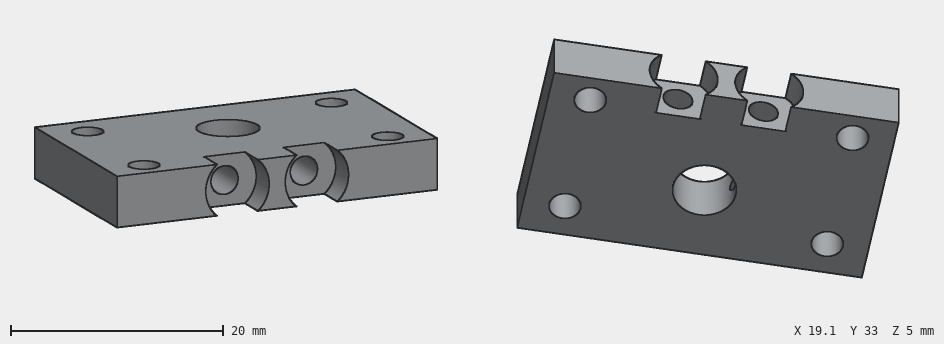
import cadquery as cq

width = 19.05
length = 32.95
thickness = 5.0

mount_diameter = 3.0
mount_spacing_x = 13.0
mount_spacing_y = 25.07
mount_center_x = 0.4

bore_diameter = 6.0
bore_from_left = 7.68

screw_diameter = 2.8
screw_spacing = 8.17
head_diameter = 6.52
head_depth = 3.0

left_x = -width / 2
recess_floor_x = width / 2 - head_depth


def cylinder_along_x(diameter, start_x, y, depth):
    """Cylinder at mid-thickness, running from start_x toward +X."""
    circle = cq.Workplane("YZ", origin=(start_x, y, 0)).circle(diameter / 2)
    return circle.extrude(depth)


plate = cq.Workplane("XY").box(width, length, thickness)

plate = (
    plate.faces(">Z")
    .workplane(origin=(mount_center_x, 0, 0))
    .rarray(mount_spacing_x, mount_spacing_y, 2, 2)
    .hole(mount_diameter)
)

plate = (
    plate.faces(">Z")
    .workplane(origin=(left_x + bore_from_left, 0, 0))
    .hole(bore_diameter)
)

for screw_y in (-screw_spacing / 2, screw_spacing / 2):
    plate = plate.cut(cylinder_along_x(screw_diameter, left_x, screw_y, width))
    plate = plate.cut(cylinder_along_x(head_diameter, recess_floor_x, screw_y, head_depth))

result = plate